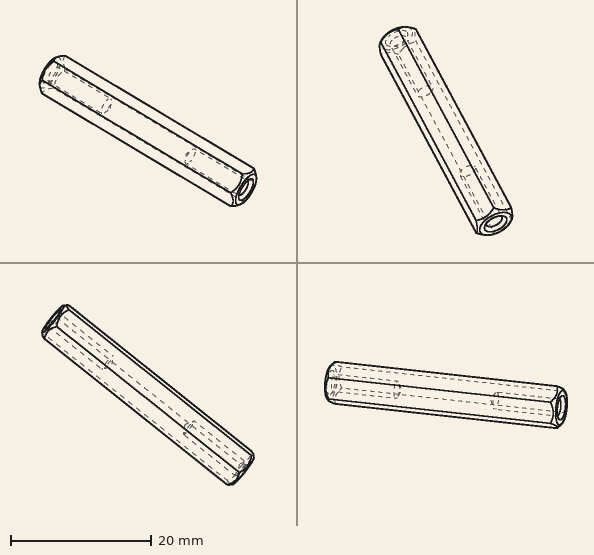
import cadquery as cq
import math

length = 35.0
across_flats = 5.5
across_corners = across_flats / math.cos(math.radians(30))

end_face_diameter = 5.0
corner_chamfer = (across_corners - end_face_diameter) / 2

hole_diameter = 2.46
hole_depth = 10.0
drill_point_angle = 118.0
countersink_diameter = 3.5
countersink_angle = 90.0


def cone_height(radius, included_angle):
    """Axial height of a cone that widens from its tip to the given radius."""
    return radius / math.tan(math.radians(included_angle / 2))


def make_hex_bar():
    """Hexagonal bar centred on the origin, with corners pointing up and down."""
    bar = cq.Workplane("YZ").polygon(6, across_corners).extrude(length / 2, both=True)
    return bar.rotate((0, 0, 0), (1, 0, 0), 90)


def make_chamfer_envelope():
    """Chamfered cylinder around the hexagon; it trims the corners at both ends."""
    cylinder = cq.Workplane("YZ").circle(across_corners / 2).extrude(length / 2, both=True)
    return cylinder.faces("<X or >X").edges().chamfer(corner_chamfer)


def make_hole_cutter():
    """Revolved hole that enters the -X end face."""
    hole_radius = hole_diameter / 2
    mouth_radius = countersink_diameter / 2
    mouth_x = -length / 2
    countersink_end_x = mouth_x + cone_height(mouth_radius - hole_radius, countersink_angle)
    bottom_x = mouth_x + hole_depth
    tip_x = bottom_x + cone_height(hole_radius, drill_point_angle)
    profile = (
        cq.Workplane("XY")
        .moveTo(mouth_x, 0)
        .lineTo(mouth_x, mouth_radius)
        .lineTo(countersink_end_x, hole_radius)
        .lineTo(bottom_x, hole_radius)
        .lineTo(tip_x, 0)
        .close()
    )
    return profile.revolve(360, (0, 0, 0), (1, 0, 0))


near_hole = make_hole_cutter()
far_hole = near_hole.mirror("YZ")

result = make_hex_bar().intersect(make_chamfer_envelope()).cut(near_hole).cut(far_hole)